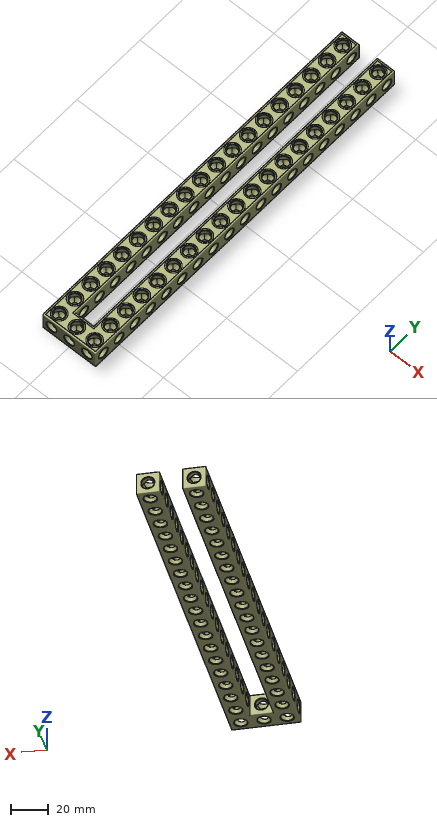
import cadquery as cq

length = 237.5
cells_along = 19
cells_across = 3
pitch = length / cells_along
width = cells_across * pitch
height = pitch

bore_diameter = 7.0
collar_diameter = 9.3
mouth_chamfer = 0.35
edge_radius = 0.35
rim_width = 1.2
recess_depth = 0.12

column_xs = [(i - (cells_across - 1) / 2) * pitch for i in range(cells_across)]
row_ys = [(i - (cells_along - 1) / 2) * pitch for i in range(cells_along)]
arm_xs = [column_xs[0], column_xs[-1]]
bridge_xs = column_xs[1:-1]
bridge_y = row_ys[0]
arm_ys = row_ys[1:]
cells = [(x, y) for x in arm_xs for y in row_ys]
cells += [(x, bridge_y) for x in bridge_xs]


def u_plate(inset, bottom, thickness):
    """U-shaped plate whose outline lies inside the outline of the beam by inset."""
    half_width = width / 2 - inset
    half_slot = width / 2 - pitch + inset
    closed_end = -length / 2 + inset
    open_end = length / 2 - inset
    slot_floor = -length / 2 + pitch - inset
    outline = [
        (-half_width, closed_end),
        (half_width, closed_end),
        (half_width, open_end),
        (half_slot, open_end),
        (half_slot, slot_floor),
        (-half_slot, slot_floor),
        (-half_slot, open_end),
        (-half_width, open_end),
    ]
    return cq.Workplane("XY").workplane(offset=bottom).polyline(outline).close().extrude(thickness)


def bore(span):
    """Cutter for a bore along Z, centred on the origin, with a chamfer at both mouths."""
    radius = bore_diameter / 2
    mouth_radius = radius + mouth_chamfer
    half = span / 2
    straight = half - mouth_chamfer
    profile = [
        (0, -half),
        (mouth_radius, -half),
        (radius, -straight),
        (radius, straight),
        (mouth_radius, half),
        (0, half),
    ]
    return cq.Workplane("XZ").polyline(profile).close().revolve(360, (0, 0, 0), (0, 1, 0))


def along_x(cutter):
    return cutter.rotate((0, 0, 0), (0, 1, 0), 90)


def along_y(cutter):
    return cutter.rotate((0, 0, 0), (1, 0, 0), 90)


def cut_at(part, cutter, places):
    """Part with the cutter taken away at every (x, y) place."""
    shape = cutter.val()
    copies = [shape.translate(cq.Vector(x, y, 0)) for x, y in places]
    return cq.Workplane(part.val().cut(*copies))


body = u_plate(0, -height / 2, height)
body = body.edges("|Z and (<Y or >Y)").fillet(edge_radius)
body = body.faces("|Z").edges().fillet(edge_radius)

recess_level = height / 2 - recess_depth
collars = (
    cq.Workplane("XY")
    .workplane(offset=recess_level)
    .pushPoints(cells)
    .circle(collar_diameter / 2)
    .extrude(recess_depth)
)
recess = u_plate(rim_width, recess_level, recess_depth).cut(collars)
body = body.cut(recess)

body = cut_at(body, bore(height), cells)

body = cut_at(body, along_x(bore(pitch)), [(x, y) for x in arm_xs for y in arm_ys])
body = cut_at(body, along_x(bore(width)), [(0, bridge_y)])

body = cut_at(body, along_y(bore(length)), [(x, 0) for x in arm_xs])
result = cut_at(body, along_y(bore(pitch)), [(x, bridge_y) for x in bridge_xs])